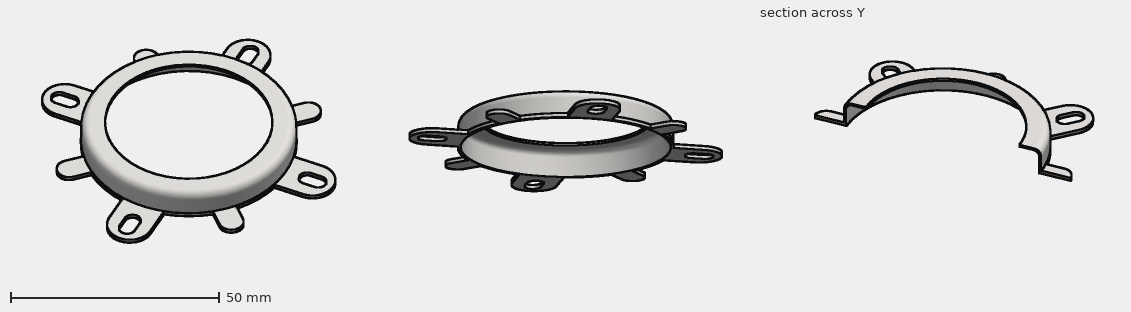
import cadquery as cq

overall_span = 67.0
overall_height = 7.0
base_thickness = 1.0

cap_diameter = 51.8
bore_diameter = 50.5
opening_diameter = 40.2
wall = (cap_diameter - bore_diameter) / 2
edge_radius = 2.0

base_diameter = 51.9

tab_width = 5.95

ear_width = 11.0
ear_center_radius = 32.95
slot_width = 4.0
slot_length = 7.0
slot_center_radius = 32.95


def make_cap():
    """Shell with a rounded top edge and a round opening."""
    outside = (
        cq.Workplane("XY")
        .workplane(offset=base_thickness)
        .circle(cap_diameter / 2)
        .extrude(overall_height - base_thickness)
        .faces(">Z")
        .edges()
        .fillet(edge_radius)
    )
    cavity = (
        cq.Workplane("XY")
        .circle(bore_diameter / 2)
        .extrude(overall_height - wall)
        .faces(">Z")
        .edges()
        .fillet(edge_radius - wall)
    )
    opening = cq.Workplane("XY").circle(opening_diameter / 2).extrude(overall_height)
    return outside.cut(cavity).cut(opening)


def make_tab(angle):
    """Plain round-ended tab reaching the overall span."""
    end_radius = tab_width / 2
    end_center = overall_span / 2 - end_radius
    return (
        cq.Workplane("XY")
        .moveTo(0, -end_radius)
        .lineTo(end_center, -end_radius)
        .threePointArc((overall_span / 2, 0), (end_center, end_radius))
        .lineTo(0, end_radius)
        .close()
        .extrude(base_thickness)
        .rotate((0, 0, 0), (0, 0, 1), angle)
    )


def make_ear(angle):
    """Round-ended ear with a radial slot."""
    strip = (
        cq.Workplane("XY")
        .center(ear_center_radius / 2, 0)
        .rect(ear_center_radius, ear_width)
        .extrude(base_thickness)
    )
    tip = cq.Workplane("XY").center(ear_center_radius, 0).circle(ear_width / 2).extrude(base_thickness)
    slot = (
        cq.Workplane("XY")
        .center(slot_center_radius, 0)
        .slot2D(slot_length, slot_width)
        .extrude(base_thickness)
    )
    return strip.union(tip).cut(slot).rotate((0, 0, 0), (0, 0, 1), angle)


def make_base():
    """Flat ring carrying alternating tabs and ears."""
    base = cq.Workplane("XY").circle(base_diameter / 2).extrude(base_thickness)
    for quarter_turn in range(0, 360, 90):
        base = base.union(make_tab(quarter_turn))
        base = base.union(make_ear(quarter_turn + 45))
    bore = cq.Workplane("XY").circle(bore_diameter / 2).extrude(base_thickness)
    return base.cut(bore)


result = make_base().union(make_cap())